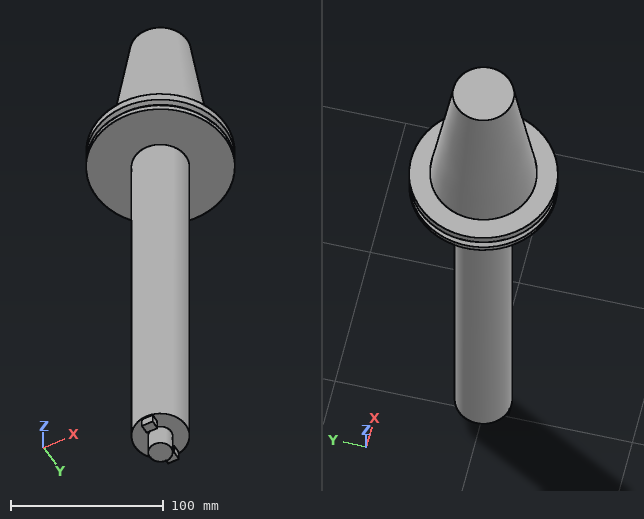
import cadquery as cq

total_length = 418.65

taper_ratio = 7 / 24
taper_length = 101.75
gauge_diameter = 69.95
taper_tip_diameter = gauge_diameter - taper_ratio * taper_length

collar_length = 3.2
flange_diameter = 97.5
flange_bottom_z = -19.1
groove_center_z = -12.15
groove_mouth_width = 6.2
groove_floor_width = 3.5
groove_floor_diameter = 91.0

body_diameter = 38.0
pin_diameter = 16.0
pin_length = 17.0
pin_bottom_z = taper_length - total_length
body_bottom_z = pin_bottom_z + pin_length

key_width = 8.0
key_height = 6.7
key_inner_y = 11.5
key_outer_y = 18.0


def revolve_profile(points):
    """Solid of revolution about Z from (radius, height) points."""
    return cq.Workplane("XZ").polyline(points).close().revolve(360, (0, 0), (0, 1))


def axial_cylinder(diameter, bottom_z, top_z):
    """Cylinder on the Z axis between two heights."""
    return cq.Workplane("XY").workplane(offset=bottom_z).circle(diameter / 2).extrude(top_z - bottom_z)


def make_taper():
    """Cone above the gauge plane with the short straight collar below it."""
    profile = [
        (0, -collar_length),
        (gauge_diameter / 2, -collar_length),
        (gauge_diameter / 2, 0),
        (taper_tip_diameter / 2, taper_length),
        (0, taper_length),
    ]
    return revolve_profile(profile)


def make_flange():
    """Flange disc with a flat-bottomed V groove in the rim."""
    rim_radius = flange_diameter / 2
    floor_radius = groove_floor_diameter / 2
    half_mouth = groove_mouth_width / 2
    half_floor = groove_floor_width / 2
    profile = [
        (0, flange_bottom_z),
        (rim_radius, flange_bottom_z),
        (rim_radius, groove_center_z - half_mouth),
        (floor_radius, groove_center_z - half_floor),
        (floor_radius, groove_center_z + half_floor),
        (rim_radius, groove_center_z + half_mouth),
        (rim_radius, -collar_length),
        (0, -collar_length),
    ]
    return revolve_profile(profile)


def make_key(side):
    """Drive key on the +Y (side = 1) or -Y (side = -1) side of the pin."""
    center_y = side * (key_inner_y + key_outer_y) / 2
    return (
        cq.Workplane("XY")
        .workplane(offset=body_bottom_z - key_height)
        .center(0, center_y)
        .rect(key_width, key_outer_y - key_inner_y)
        .extrude(key_height)
    )


result = make_taper().union(make_flange())
result = result.union(axial_cylinder(body_diameter, body_bottom_z, flange_bottom_z))
result = result.union(axial_cylinder(pin_diameter, pin_bottom_z, body_bottom_z))
for side in (1, -1):
    result = result.union(make_key(side))